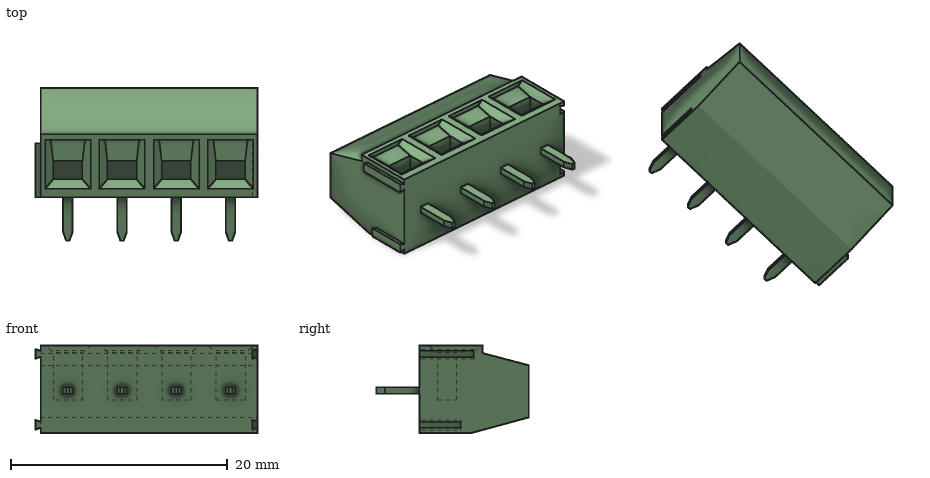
import cadquery as cq


pole_count = 4
pitch = 5.0
body_length = pole_count * pitch
body_depth = 10.1
body_height = 8.1
step_from_front = 5.82
step_height = 0.7
top_slope_drop = 1.82
bottom_slope_rise = 1.45
bottom_slope_start = 4.75

dovetail_projection = 0.5
dovetail_outer_height = 0.9
dovetail_neck_height = 0.57
dovetail_edge_distance = 0.78
upper_dovetail_length = 5.0
lower_dovetail_length = 3.83

entry_width = 4.2
entry_front = 0.8
entry_back = 5.3
shaft_width = 2.7
shaft_front = 1.66
shaft_back = 3.4
funnel_depth = 0.62
back_wall_depth = 0.43
shaft_depth = 5.0

pin_length = 4.0
pin_width = 0.9
pin_thickness = 0.62
pin_tip_length = 0.82
pin_tip_width = 0.3
pin_center_height = 3.94


def make_body():
    """Side profile with both sloped back faces, extruded along the poles."""
    profile = [
        (0, 0),
        (bottom_slope_start, 0),
        (body_depth, bottom_slope_rise),
        (body_depth, body_height - top_slope_drop),
        (step_from_front, body_height - step_height),
        (step_from_front, body_height),
        (0, body_height),
    ]
    return cq.Workplane("YZ").polyline(profile).close().extrude(body_length)


def make_dovetail(root_x, center_height, length):
    """Dovetail bar starting at the front face and widening toward -X."""
    neck = dovetail_neck_height / 2
    outer = dovetail_outer_height / 2
    outer_x = root_x - dovetail_projection
    profile = [
        (root_x, center_height - neck),
        (root_x, center_height + neck),
        (outer_x, center_height + outer),
        (outer_x, center_height - outer),
    ]
    return cq.Workplane("XZ").polyline(profile).close().extrude(-length)


def make_wire_entry(center_x):
    """Funnel with four tapered sides leading into a rectangular blind shaft."""
    funnel_bottom = body_height - funnel_depth
    across = [
        (center_x - entry_width / 2, body_height),
        (center_x + entry_width / 2, body_height),
        (center_x + shaft_width / 2, funnel_bottom),
        (center_x - shaft_width / 2, funnel_bottom),
    ]
    along = [
        (entry_front, body_height),
        (shaft_front, funnel_bottom),
        (shaft_back, funnel_bottom),
        (entry_back, body_height - back_wall_depth),
        (entry_back, body_height),
    ]
    side_taper = cq.Workplane("XZ").polyline(across).close().extrude(-body_depth)
    end_taper = cq.Workplane("YZ").polyline(along).close().extrude(body_length)
    shaft = (
        cq.Workplane("XY")
        .box(shaft_width, shaft_back - shaft_front, shaft_depth - funnel_depth, centered=(True, False, False))
        .translate((center_x, shaft_front, body_height - shaft_depth))
    )
    return side_taper.intersect(end_taper).union(shaft)


def make_pin(center_x):
    """Flat pin leaving the front face, tapered in width at its tip."""
    shoulder_y = pin_tip_length - pin_length
    outline = [
        (center_x - pin_width / 2, 0),
        (center_x - pin_width / 2, shoulder_y),
        (center_x - pin_tip_width / 2, -pin_length),
        (center_x + pin_tip_width / 2, -pin_length),
        (center_x + pin_width / 2, shoulder_y),
        (center_x + pin_width / 2, 0),
    ]
    pin = cq.Workplane("XY").polyline(outline).close().extrude(pin_thickness)
    return pin.translate((0, 0, pin_center_height - pin_thickness / 2))


result = make_body()

dovetails = [
    (body_height - dovetail_edge_distance, upper_dovetail_length),
    (dovetail_edge_distance, lower_dovetail_length),
]
for center_height, length in dovetails:
    result = result.union(make_dovetail(0, center_height, length))
    result = result.cut(make_dovetail(body_length, center_height, length))

for pole in range(pole_count):
    pole_x = (pole + 0.5) * pitch
    result = result.cut(make_wire_entry(pole_x))
    result = result.union(make_pin(pole_x))